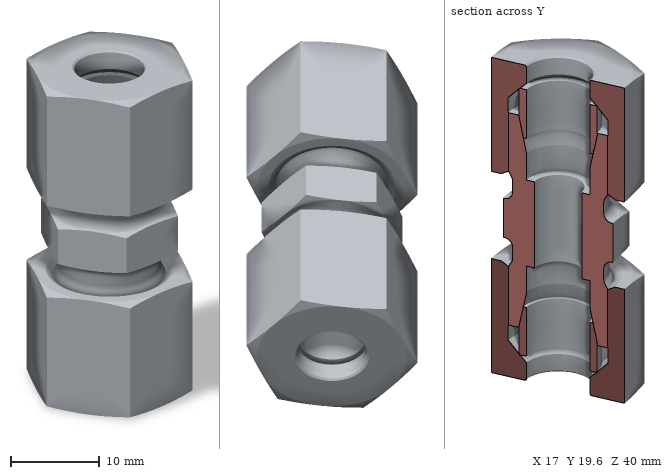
import cadquery as cq
import math

TOTAL_LENGTH = 40.0
HALF_LENGTH = TOTAL_LENGTH / 2
HEX_CHAMFER_ANGLE = 15.0

FLOW_BORE_DIAMETER = 6.0
TUBE_DIAMETER = 8.0
TUBE_STOP_HEIGHT = 5.5

BODY_HALF_LENGTH = 13.5
BODY_HEX_WIDTH = 14.0
BODY_HEX_HEIGHT = 5.0
THREAD_DIAMETER = 12.7
NECK_DIAMETER = 11.7
NECK_END = 4.9
UNDERCUT_RADIUS = 1.0
RUNOUT_ANGLE = 30.0
CONE_MOUTH_DIAMETER = 10.0
CONE_HALF_ANGLE = 12.0

NUT_HEX_WIDTH = 17.0
NUT_GAP = 11.0
NUT_MOUTH_DIAMETER = 14.5
NUT_BORE_DEPTH = 2.3
NUT_BORE_CHAMFER = 0.2

RING_TOP_DEPTH = 3.1
RING_TIP_LENGTH = 2.8

RUNOUT_SLOPE = math.radians(RUNOUT_ANGLE)
RUNOUT_START_RADIUS = NECK_DIAMETER / 2 + UNDERCUT_RADIUS * (1 - math.cos(RUNOUT_SLOPE))
RUNOUT_START = NECK_END + UNDERCUT_RADIUS * math.sin(RUNOUT_SLOPE)
RUNOUT_END = RUNOUT_START + (THREAD_DIAMETER / 2 - RUNOUT_START_RADIUS) / math.tan(RUNOUT_SLOPE)


def revolve_profile(profile):
    """Turn a closed (radius, height) profile about the Z axis."""
    return profile.close().revolve(360, (0, 0, 0), (0, 1, 0))


def chamfered_hexagon(width, bottom, top):
    """Hexagonal prism with flats facing +-X and its corners turned down at both ends."""
    corner_radius = width / math.sqrt(3)
    flat_radius = width / 2
    corner_drop = (corner_radius - flat_radius) * math.tan(math.radians(HEX_CHAMFER_ANGLE))
    prism = (
        cq.Workplane("XY", origin=(0, 0, bottom))
        .polygon(6, width, circumscribed=True)
        .extrude(top - bottom)
    )
    turned_envelope = revolve_profile(
        cq.Workplane("XZ")
        .moveTo(0, bottom)
        .lineTo(flat_radius, bottom)
        .lineTo(corner_radius, bottom + corner_drop)
        .lineTo(corner_radius, top - corner_drop)
        .lineTo(flat_radius, top)
        .lineTo(0, top)
    )
    return prism.intersect(turned_envelope)


def mirrored(shape):
    """Copy of a shape reflected to the lower end of the fitting."""
    return shape.mirror("XY")


def arc_offset(angle):
    """Outward and axial distance along an undercut arc, after turning by an angle off the neck."""
    return UNDERCUT_RADIUS * (1 - math.cos(angle)), UNDERCUT_RADIUS * math.sin(angle)


def make_body_stub():
    """Turned upper end of the body: undercut neck with rounded ends, thread runout and barrel."""
    neck_radius = NECK_DIAMETER / 2
    thread_radius = THREAD_DIAMETER / 2
    hex_top = BODY_HEX_HEIGHT / 2
    neck_start = hex_top + UNDERCUT_RADIUS
    flare_radius = neck_radius + UNDERCUT_RADIUS
    flare_out, flare_drop = arc_offset(math.pi / 4)
    runout_out, runout_rise = arc_offset(RUNOUT_SLOPE / 2)
    return revolve_profile(
        cq.Workplane("XZ")
        .lineTo(flare_radius, 0)
        .lineTo(flare_radius, hex_top)
        .threePointArc((neck_radius + flare_out, neck_start - flare_drop), (neck_radius, neck_start))
        .lineTo(neck_radius, NECK_END)
        .threePointArc(
            (neck_radius + runout_out, NECK_END + runout_rise),
            (RUNOUT_START_RADIUS, RUNOUT_START),
        )
        .lineTo(thread_radius, RUNOUT_END)
        .lineTo(thread_radius, BODY_HALF_LENGTH)
        .lineTo(0, BODY_HALF_LENGTH)
    )


def make_tube_socket():
    """Tube seat with a tapered mouth, as the volume to cut from the upper end of the body."""
    tube_radius = TUBE_DIAMETER / 2
    mouth_radius = CONE_MOUTH_DIAMETER / 2
    cone_length = (mouth_radius - tube_radius) / math.tan(math.radians(CONE_HALF_ANGLE))
    return revolve_profile(
        cq.Workplane("XZ")
        .moveTo(0, TUBE_STOP_HEIGHT)
        .lineTo(tube_radius, TUBE_STOP_HEIGHT)
        .lineTo(tube_radius, BODY_HALF_LENGTH - cone_length)
        .lineTo(mouth_radius, BODY_HALF_LENGTH)
        .lineTo(0, BODY_HALF_LENGTH)
    )


def make_body():
    """Straight union body: central hexagon with a threaded, socketed stub at each end."""
    stub = make_body_stub()
    socket = make_tube_socket()
    flow_bore = cq.Workplane("XY").circle(FLOW_BORE_DIAMETER / 2).extrude(BODY_HALF_LENGTH, both=True)
    return (
        chamfered_hexagon(BODY_HEX_WIDTH, -BODY_HEX_HEIGHT / 2, BODY_HEX_HEIGHT / 2)
        .union(stub)
        .union(mirrored(stub))
        .cut(socket)
        .cut(mirrored(socket))
        .cut(flow_bore)
    )


def make_nut():
    """Upper union nut: countersunk threaded bore, 45 degree clamping cone and chamfered tube bore."""
    bottom = NUT_GAP / 2
    tube_radius = TUBE_DIAMETER / 2
    thread_radius = THREAD_DIAMETER / 2
    mouth_radius = NUT_MOUTH_DIAMETER / 2
    cone_top = HALF_LENGTH - NUT_BORE_DEPTH
    cone_bottom = cone_top - (thread_radius - tube_radius)
    bore = revolve_profile(
        cq.Workplane("XZ")
        .moveTo(0, bottom)
        .lineTo(mouth_radius, bottom)
        .lineTo(thread_radius, RUNOUT_END)
        .lineTo(thread_radius, cone_bottom)
        .lineTo(tube_radius, cone_top)
        .lineTo(tube_radius, HALF_LENGTH - NUT_BORE_CHAMFER)
        .lineTo(tube_radius + NUT_BORE_CHAMFER, HALF_LENGTH)
        .lineTo(0, HALF_LENGTH)
    )
    return chamfered_hexagon(NUT_HEX_WIDTH, bottom, HALF_LENGTH).cut(bore)


def make_cutting_ring():
    """Upper cutting ring, seated on the clamping cone of the nut and in the taper of the body."""
    inner_radius = TUBE_DIAMETER / 2
    collar_radius = CONE_MOUTH_DIAMETER / 2
    top = HALF_LENGTH - RING_TOP_DEPTH
    top_radius = inner_radius + RING_TOP_DEPTH - NUT_BORE_DEPTH
    collar_top = top - (collar_radius - top_radius)
    tip_radius = collar_radius - RING_TIP_LENGTH * math.tan(math.radians(CONE_HALF_ANGLE))
    tip_bottom = BODY_HALF_LENGTH - RING_TIP_LENGTH
    return revolve_profile(
        cq.Workplane("XZ")
        .moveTo(inner_radius, tip_bottom)
        .lineTo(tip_radius, tip_bottom)
        .lineTo(collar_radius, BODY_HALF_LENGTH)
        .lineTo(collar_radius, collar_top)
        .lineTo(top_radius, top)
        .lineTo(inner_radius, top)
    )


body = make_body()
upper_nut = make_nut()
upper_ring = make_cutting_ring()
nuts = [upper_nut, mirrored(upper_nut)]
cutting_rings = [upper_ring, mirrored(upper_ring)]

result = cq.Compound.makeCompound([part.val() for part in [body, *nuts, *cutting_rings]])